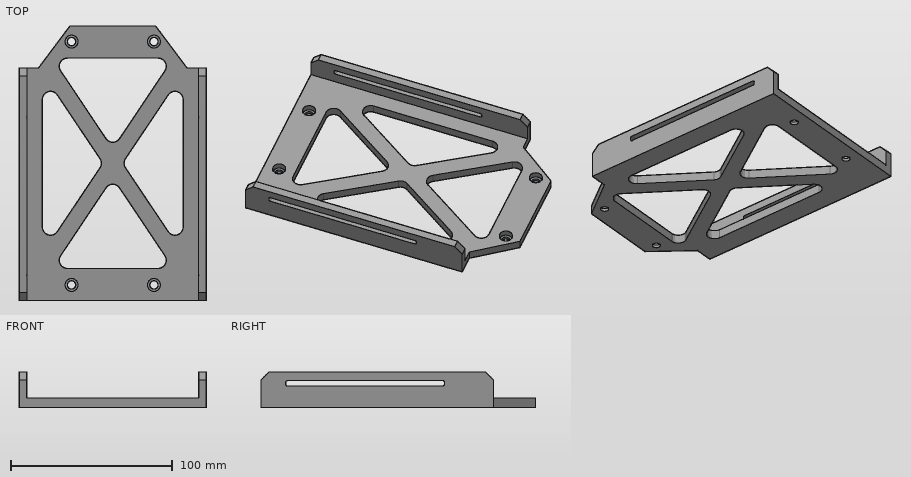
import cadquery as cq
import math

tray_width = 116.0
tray_length = 144.0
overall_length = 170.0
overall_height = 22.0
floor_thickness = 6.0
wall_thickness = 4.8
wall_corner_chamfer = 5.0

tab_base_width = 92.0
tab_tip_width = 53.0

opening_width = 87.0
opening_length = 130.0
strut_width = 10.1
window_corner_radius = 5.0

hole_spacing = 51.0
hole_edge_distance = 9.7
hole_diameter = 5.0
counterbore_diameter = 8.0
counterbore_depth = 4.0

slot_start = 15.5
slot_length = 98.0
slot_height = 3.3
slot_center_height = 15.0
slot_corner_radius = 1.0

middle_y = overall_length / 2


def make_floor():
    half_tray = tray_width / 2
    half_base = tab_base_width / 2
    half_tip = tab_tip_width / 2
    outline = [
        (-half_tray, 0),
        (half_tray, 0),
        (half_tray, tray_length),
        (half_base, tray_length),
        (half_tip, overall_length),
        (-half_tip, overall_length),
        (-half_base, tray_length),
        (-half_tray, tray_length),
    ]
    return cq.Workplane("XY").polyline(outline).close().extrude(floor_thickness)


def make_walls():
    """Both side walls, with chamfered upper corners and the long slot."""
    wall_centers = [
        (side * (tray_width - wall_thickness) / 2, tray_length / 2) for side in (-1, 1)
    ]
    walls = (
        cq.Workplane("XY")
        .pushPoints(wall_centers)
        .rect(wall_thickness, tray_length)
        .extrude(overall_height)
        .edges("|X and >Z")
        .chamfer(wall_corner_chamfer)
    )
    slot = (
        cq.Workplane("XY")
        .box(tray_width, slot_length, slot_height)
        .edges("|X")
        .fillet(slot_corner_radius)
        .translate((0, slot_start + slot_length / 2, slot_center_height))
    )
    return walls.cut(slot)


def make_windows():
    """Four rounded triangles left open between the two diagonal struts."""
    half_width = opening_width / 2
    half_length = opening_length / 2
    strut_angle = math.atan2(opening_length, opening_width)
    apex_x = strut_width / 2 / math.sin(strut_angle)
    apex_y = strut_width / 2 / math.cos(strut_angle)
    end_x = half_width - apex_x
    end_y = half_length - apex_y

    windows = cq.Workplane("XY")
    for side in (-1, 1):
        side_triangle = [
            (side * apex_x, 0),
            (side * half_width, end_y),
            (side * half_width, -end_y),
        ]
        end_triangle = [
            (0, side * apex_y),
            (end_x, side * half_length),
            (-end_x, side * half_length),
        ]
        for triangle in (side_triangle, end_triangle):
            window = (
                cq.Workplane("XY")
                .polyline(triangle)
                .close()
                .extrude(floor_thickness)
                .edges("|Z")
                .fillet(window_corner_radius)
            )
            windows = windows.add(window)
    return windows.combine().translate((0, middle_y, 0))


def drill_mounting_holes(body):
    hole_row_distance = overall_length - 2 * hole_edge_distance
    return (
        body.copyWorkplane(cq.Workplane("XY", origin=(0, middle_y, floor_thickness)))
        .rarray(hole_spacing, hole_row_distance, 2, 2)
        .cboreHole(hole_diameter, counterbore_diameter, counterbore_depth)
    )


tray = make_floor().union(make_walls())
tray = tray.cut(make_windows())
result = drill_mounting_holes(tray)